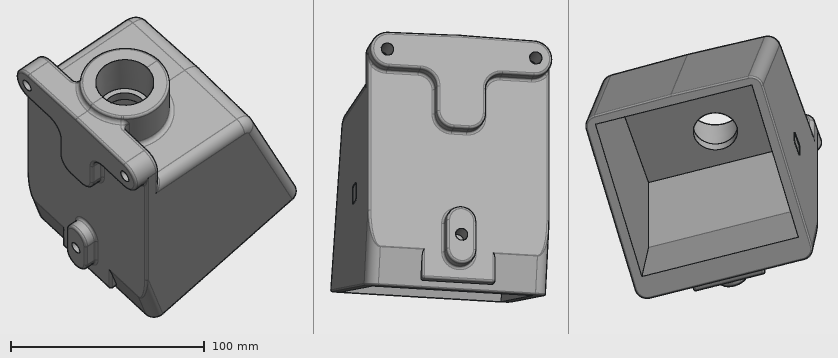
import cadquery as cq
import math

WIDTH = 95.2
HEIGHT = 137.2
DEPTH = 112.6
HALF_WIDTH = WIDTH / 2
DRAFT = 1.0
OVERSHOOT = 41.2
BURIED = 5.5
TOUCH = 0.1

FRONT_Y = 7.3
ROOF_Z = 113.7
SKIRT_TILT = 15.0
MOUTH_FRONT_Y = 12.5
MOUTH_FRONT_Z = -0.18
MOUTH_BACK_Y = DEPTH + 0.3
ROOF_BACK_Y = 80.8
SIDE_ROUND = 6.3
ROOF_BACK_ROUND = 10.3
FRONT_EDGE_ROUND = 1.4
MOUTH_ROUND = 0.8

WALL = 5.5
SKIRT_WALL = 12.6

PLATE_BACK_Y = 15.9
PLATE_EDGE_ROUND = 2.2
PLATE_FOOT_ROUND = 2.5
PLATE_BOSS_CORNER = 2.7
EAR_X = 38.1
EAR_Z = 123.7
EAR_RADIUS = HALF_WIDTH - EAR_X
EAR_HOLE_X = 39.0
EAR_HOLE_DIAMETER = 6.5
BAR_TOP_Z = EAR_Z + EAR_RADIUS
BAR_CREST_Z = BAR_TOP_Z + EAR_X * math.tan(math.radians(DRAFT))
BAR_BOTTOM_Z = EAR_Z - EAR_RADIUS
STEM_HALF_WIDTH = 12.8
STEM_BOTTOM_Z = 83.5
STEM_CORNER = 8.8
PAD_ROUND = 1.4

LOWER_PAD_WIDTH = 15.4
LOWER_PAD_BOTTOM_Z = 10.5
LOWER_PAD_TOP_Z = 41.3
SCREW_HOLE_DIAMETER = 6.3
SCREW_HOLE_Z = 26.0
SCREW_HOLE_DEPTH = 11.0

TAB_HALF_WIDTH = 19.2
TAB_BOTTOM_Z = 3.5
TAB_ROUND = 1.2

BOSS_Y = 33.0
BOSS_RADIUS = 23.0
BOSS_EDGE_ROUND = 1.4
BOSS_FOOT_ROUND = 2.2
BORE_RADIUS = 15.0
BORE_FLOOR_RADIUS = 14.3
CABLE_HOLE_RADIUS = 11.4

MARK_Y = 44.7
MARK_Z = 59.0
MARK_SIZE = 9.6
MARK_CORNER = 1.6
MARK_DEPTH = 0.4

tilt = math.radians(SKIRT_TILT)
draft_slope = math.tan(math.radians(DRAFT))
mouth_back_z = MOUTH_FRONT_Z + (MOUTH_BACK_Y - MOUTH_FRONT_Y) * math.tan(tilt)
back_slope = (MOUTH_BACK_Y - ROOF_BACK_Y) / (ROOF_Z - mouth_back_z)


def skirt_point(along, up):
    """YZ point at a distance along the mouth and up the skirt from its front lower corner."""
    y = MOUTH_FRONT_Y + along * math.cos(tilt) - up * math.sin(tilt)
    z = MOUTH_FRONT_Z + along * math.sin(tilt) + up * math.cos(tilt)
    return (y, z)


def back_point(z, inset=0):
    """YZ point on the sloping back, moved inward along Y."""
    return (ROOF_BACK_Y + back_slope * (ROOF_Z - z) - inset, z)


def prism(points, half_width):
    """YZ outline extruded symmetrically about X = 0."""
    return cq.Workplane("YZ").polyline(points).close().extrude(half_width, both=True)


def block(x_range, y_range, z_range):
    size = [high - low for low, high in (x_range, y_range, z_range)]
    corner = (x_range[0], y_range[0], z_range[0])
    return cq.Workplane("XY").box(*size, centered=False).translate(corner)


def region(x_range, y_range, z_range):
    """Selector for edges whose centre lies in a box."""
    low, high = zip(x_range, y_range, z_range)
    return cq.selectors.BoxSelector(low, high)


def near(value):
    return (value - TOUCH, value + TOUCH)


def hood_half():
    """Drafted roof and back, cut off by the tilted mouth, the skirt and the front wall (+X half)."""
    low_z = mouth_back_z - OVERSHOOT
    corners = [(-OVERSHOOT, ROOF_Z), (ROOF_BACK_Y, ROOF_Z), back_point(low_z), (-OVERSHOOT, low_z)]
    outline = cq.Wire.makePolygon([cq.Vector(0, y, z) for y, z in corners], close=True)
    roof_corner = [v for v in outline.Vertices() if v.Y > 0 and v.Z > mouth_back_z]
    outline = outline.fillet2D(ROOF_BACK_ROUND, roof_corner)
    half = cq.Workplane("YZ").add(outline).toPending().extrude(HALF_WIDTH, taper=DRAFT)

    reach = HEIGHT + OVERSHOOT
    frame = [skirt_point(0, 0), skirt_point(reach, 0), skirt_point(reach, reach), skirt_point(0, reach)]
    half = half.intersect(prism(frame, HALF_WIDTH))

    mouth = cq.selectors.DirectionMinMaxSelector(cq.Vector(0, math.sin(tilt), -math.cos(tilt)), True)
    half = half.faces(">X").edges(cq.selectors.InverseSelector(mouth)).fillet(SIDE_ROUND)
    half = half.faces(mouth).edges("not <X").fillet(MOUTH_ROUND)

    trim = block((0, HALF_WIDTH), (FRONT_Y, DEPTH + OVERSHOOT), (-OVERSHOOT, HEIGHT))
    plate_root = block((0, HALF_WIDTH), (FRONT_Y, PLATE_BACK_Y), (STEM_BOTTOM_Z, EAR_Z))
    half = half.intersect(trim).union(plate_root).clean()
    front_edges = region(
        (HALF_WIDTH - SIDE_ROUND, HALF_WIDTH + TOUCH), near(FRONT_Y), (TAB_BOTTOM_Z, BAR_BOTTOM_Z))
    return half.edges(front_edges).fillet(FRONT_EDGE_ROUND)


def ear_bar():
    """Top of the upright plate: two round ears joined by a bar with a drafted top."""
    return (
        cq.Workplane("XZ")
        .moveTo(-EAR_X, BAR_TOP_Z)
        .lineTo(0, BAR_CREST_Z)
        .lineTo(EAR_X, BAR_TOP_Z)
        .threePointArc((HALF_WIDTH, EAR_Z), (EAR_X, BAR_BOTTOM_Z))
        .lineTo(-EAR_X, BAR_BOTTOM_Z)
        .threePointArc((-HALF_WIDTH, EAR_Z), (-EAR_X, BAR_TOP_Z))
        .close()
        .extrude(-PLATE_BACK_Y)
    )


def stem():
    """Central stem below the ear bar, blended into it by concave corners."""
    shoulder = STEM_HALF_WIDTH + STEM_CORNER
    foot = STEM_HALF_WIDTH - STEM_CORNER
    return (
        cq.Workplane("XZ")
        .moveTo(-shoulder, BAR_BOTTOM_Z)
        .radiusArc((-STEM_HALF_WIDTH, BAR_BOTTOM_Z - STEM_CORNER), STEM_CORNER)
        .lineTo(-STEM_HALF_WIDTH, STEM_BOTTOM_Z + STEM_CORNER)
        .radiusArc((-foot, STEM_BOTTOM_Z), -STEM_CORNER)
        .lineTo(foot, STEM_BOTTOM_Z)
        .radiusArc((STEM_HALF_WIDTH, STEM_BOTTOM_Z + STEM_CORNER), -STEM_CORNER)
        .lineTo(STEM_HALF_WIDTH, BAR_BOTTOM_Z - STEM_CORNER)
        .radiusArc((shoulder, BAR_BOTTOM_Z), STEM_CORNER)
        .lineTo(shoulder, EAR_Z)
        .lineTo(-shoulder, EAR_Z)
        .close()
        .extrude(-PLATE_BACK_Y)
    )


def cable_boss():
    """Round boss whose top falls away from the parting plane by the mould draft."""
    root_z = ROOF_Z - BURIED
    fall = BOSS_RADIUS * draft_slope
    roof = [
        (-BOSS_RADIUS, root_z), (BOSS_RADIUS, root_z), (BOSS_RADIUS, HEIGHT - fall),
        (0, HEIGHT), (-BOSS_RADIUS, HEIGHT - fall),
    ]
    boss = cq.Workplane("XY", origin=(0, BOSS_Y, root_z)).circle(BOSS_RADIUS).extrude(HEIGHT - root_z)
    return boss.intersect(cq.Workplane("XZ").polyline(roof).close().extrude(-DEPTH))


def plate_and_boss_half():
    """Upright plate and cable boss, blended in the corner where they meet (+X half)."""
    plate = ear_bar().union(stem()).clean().faces("<Y").edges().fillet(PAD_ROUND)
    web = block((-EAR_X, EAR_X), (FRONT_Y, PLATE_BACK_Y), (ROOF_Z - BURIED, EAR_Z))
    whole = plate.union(web).union(cable_boss()).clean()
    half = whole.intersect(block((0, WIDTH), (0, DEPTH), (0, HEIGHT)))
    meeting = region((STEM_HALF_WIDTH, BOSS_RADIUS), near(PLATE_BACK_Y), (ROOF_Z - BURIED, HEIGHT))
    return half.edges(meeting).edges("|Z").fillet(PLATE_BOSS_CORNER)


def round_upper_edges(half):
    """Back edge of the plate, foot of plate and boss on the roof, and boss edges (+X half)."""
    back_lines = region((BOSS_RADIUS, EAR_X), near(PLATE_BACK_Y), (ROOF_Z - PLATE_FOOT_ROUND, BAR_CREST_Z))
    half = half.edges(back_lines).edges(">Z").fillet(PLATE_EDGE_ROUND)
    half = half.edges(back_lines).edges("<Z").fillet(PLATE_FOOT_ROUND)
    boss_on_plate = region((TOUCH, STEM_HALF_WIDTH), (FRONT_Y, PLATE_BACK_Y), (BAR_TOP_Z, BAR_CREST_Z))
    half = half.edges(boss_on_plate).fillet(BOSS_FOOT_ROUND)
    boss_rim = region((TOUCH, BOSS_RADIUS), (0, DEPTH), (HEIGHT - BOSS_EDGE_ROUND, HEIGHT))
    return half.edges(boss_rim).fillet(BOSS_EDGE_ROUND)


def lower_pad():
    height = LOWER_PAD_TOP_Z - LOWER_PAD_BOTTOM_Z
    base = cq.Workplane("XZ").center(0, LOWER_PAD_BOTTOM_Z + height / 2)
    pad = base.slot2D(height, LOWER_PAD_WIDTH, 90).extrude(-FRONT_Y - BURIED)
    return pad.faces("<Y").edges().fillet(PAD_ROUND)


def tab():
    """Flat tab that carries the front wall plane down over the skirt."""
    x_range = (-TAB_HALF_WIDTH, TAB_HALF_WIDTH)
    body = block(x_range, (FRONT_Y, FRONT_Y + SKIRT_WALL), (TAB_BOTTOM_Z, LOWER_PAD_TOP_Z - BURIED))
    body = body.edges("|Y and <Z").fillet(TAB_ROUND)
    return body.faces("<Y").edges("not >Z").fillet(TAB_ROUND)


def cavity():
    """Hollow inside, open at the tilted mouth."""
    inner_front = FRONT_Y + WALL
    back_inset = WALL * math.hypot(1, back_slope)
    rise = (skirt_point(SKIRT_WALL, 0)[0] - inner_front) / math.sin(tilt)
    low_z = mouth_back_z - OVERSHOOT
    outline = [
        skirt_point(SKIRT_WALL, -OVERSHOOT),
        skirt_point(SKIRT_WALL, rise),
        (inner_front, ROOF_Z - WALL),
        back_point(ROOF_Z - WALL, back_inset),
        back_point(low_z, back_inset),
    ]
    return prism(outline, HALF_WIDTH - WALL)


def bore():
    """Tapered bore down to the roof level, then a smaller hole into the cavity."""
    depth = HEIGHT - ROOF_Z
    taper = math.degrees(math.atan((BORE_RADIUS - BORE_FLOOR_RADIUS) / depth))
    base = cq.Workplane("XY", origin=(0, BOSS_Y, HEIGHT))
    cable_hole = base.circle(CABLE_HOLE_RADIUS).extrude(-depth - 2 * WALL)
    return base.circle(BORE_RADIUS).extrude(-depth, taper=taper).union(cable_hole)


def front_hole(x, z, diameter, depth):
    return cq.Workplane("XZ", origin=(x, 0, z)).circle(diameter / 2).extrude(-depth)


def side_mark():
    mark = block(
        (-HALF_WIDTH, -HALF_WIDTH + MARK_DEPTH),
        (MARK_Y - MARK_SIZE / 2, MARK_Y + MARK_SIZE / 2),
        (MARK_Z - MARK_SIZE / 2, MARK_Z + MARK_SIZE / 2),
    )
    return mark.edges("|X").fillet(MARK_CORNER)


half = round_upper_edges(hood_half().union(plate_and_boss_half()).clean())
result = half.union(half.mirror("YZ")).union(tab()).union(lower_pad()).clean()
foot_x = HALF_WIDTH - 2 * FRONT_EDGE_ROUND
stem_foot = region((-foot_x, foot_x), near(FRONT_Y), (STEM_BOTTOM_Z - TOUCH, EAR_Z))
result = result.edges(stem_foot).fillet(PAD_ROUND)
pad_x = LOWER_PAD_WIDTH / 2 + TOUCH
lower_pad_foot = region((-pad_x, pad_x), near(FRONT_Y), (LOWER_PAD_BOTTOM_Z - TOUCH, LOWER_PAD_TOP_Z + TOUCH))
result = result.edges(lower_pad_foot).fillet(PAD_ROUND)

result = result.cut(cavity()).cut(bore()).cut(side_mark())
for hole_x in (-EAR_HOLE_X, EAR_HOLE_X):
    result = result.cut(front_hole(hole_x, EAR_Z, EAR_HOLE_DIAMETER, PLATE_BACK_Y))
result = result.cut(front_hole(0, SCREW_HOLE_Z, SCREW_HOLE_DIAMETER, SCREW_HOLE_DEPTH))